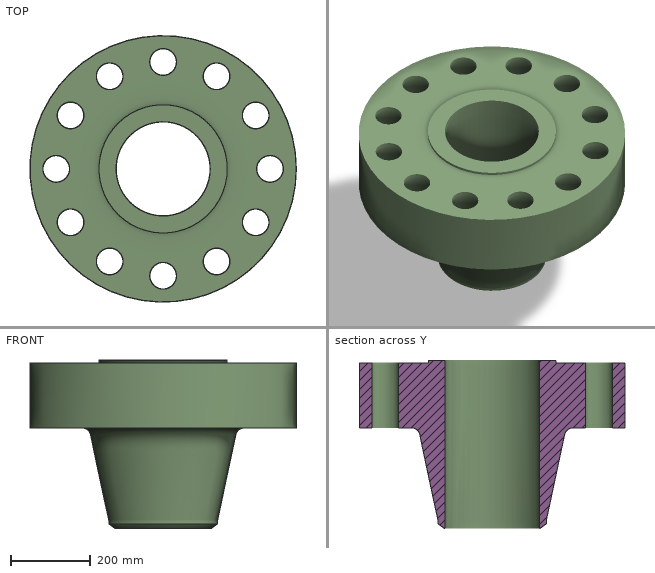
import cadquery as cq

flange_diameter = 673.0
total_height = 425.5
raised_face_diameter = 324.0
raised_face_height = 7.0
flange_thickness = 165.0
bore_diameter = 237.0

bolt_count = 12
bolt_circle_diameter = 540.0
bolt_hole_diameter = 66.5

hub_base_diameter = 374.0
weld_end_diameter = 274.5
weld_land_height = 8.0
bevel_width = 16.0
bevel_height = 12.0
fillet_radius = 20.0

flange_top = total_height - raised_face_height
flange_bottom = flange_top - flange_thickness
bore_radius = bore_diameter / 2
weld_end_radius = weld_end_diameter / 2


def make_body():
    """Revolve the half section of flange, hub and bore about Z."""
    section = (
        cq.Workplane("XZ")
        .moveTo(bore_radius, 0)
        .lineTo(weld_end_radius - bevel_width, 0)
        .lineTo(weld_end_radius, bevel_height)
        .lineTo(weld_end_radius, bevel_height + weld_land_height)
        .lineTo(hub_base_diameter / 2, flange_bottom)
        .lineTo(flange_diameter / 2, flange_bottom)
        .lineTo(flange_diameter / 2, flange_top)
        .lineTo(raised_face_diameter / 2, flange_top)
        .lineTo(raised_face_diameter / 2, total_height)
        .lineTo(bore_radius, total_height)
        .close()
    )
    return section.revolve(360, (0, 0, 0), (0, 1, 0))


def fillet_hub_root(body):
    """Round the corner where the hub meets the underside of the flange."""
    root_edge = cq.selectors.RadiusNthSelector(0)
    return body.faces("-Z").faces(">Z").edges(root_edge).fillet(fillet_radius)


def make_bolt_holes():
    """Full-depth cutters on the bolt circle, the first one on +X."""
    return (
        cq.Workplane("XY")
        .workplane(offset=flange_bottom)
        .polarArray(bolt_circle_diameter / 2, 0, 360, bolt_count)
        .circle(bolt_hole_diameter / 2)
        .extrude(flange_thickness)
    )


result = fillet_hub_root(make_body()).cut(make_bolt_holes())